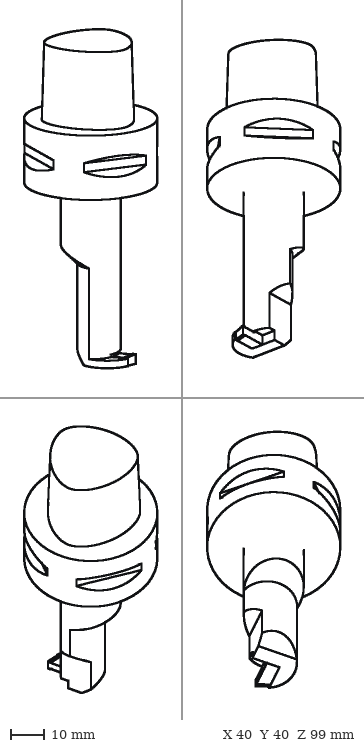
import cadquery as cq
import math

TOTAL_HEIGHT = 99.0
TAPER_HEIGHT = 24.0
FLANGE_HEIGHT = 20.0
FLANGE_TOP = TOTAL_HEIGHT - TAPER_HEIGHT
FLANGE_BOTTOM = FLANGE_TOP - FLANGE_HEIGHT

TAPER_BASE_RADIUS = 13.9
TAPER_TOP_RADIUS = 13.2
LOBE_HEIGHT = 1.0
LOBE_COUNT = 3
LOBE_HALF_ANGLE = 20.0
TOP_LOBE_ANGLE = 90.0
CURVE_INTERVALS = 6

FLANGE_DIAMETER = 40.0
SLOT_COUNT = 4
SLOT_FIRST_ANGLE = 45.0
SLOT_DEPTH = 2.9
SLOT_FLOOR_HEIGHT = 2.8
SLOT_MOUTH_HEIGHT = 6.5
SLOT_CENTER_Z = FLANGE_TOP - FLANGE_HEIGHT / 2

BAR_DIAMETER = 18.0
BAR_RADIUS = BAR_DIAMETER / 2
BAR_BOTTOM = 0.2
NECK_FILLET = 1.5
TIP_OFFSET = 5.2
RELIEF_TOP = 30.7
ARM_TOP = 2.6
CORNER_CHAMFER = 4.4
FLAT_Y = 4.8
FLAT_TOP = 15.1

SEAT_Y = -4.1
RAKE_Y = 0.0
SEAT_HEIGHT = 3.4
ROOT_LENGTH = 3.8
BLADE_BACK_TOP = 2.8
BLADE_RAKE_TOP = 2.9
EDGE_TOP = 3.1
EDGE_X = 14.4
EDGE_LENGTH = 0.9
FLANK_CLEARANCE = 1.5


def lobed_point(radius, degrees, z):
    """Point of a constant-width lobed curve whose normal is at the given angle from a lobe."""
    angle = math.radians(degrees)
    support = radius + LOBE_HEIGHT * math.cos(LOBE_COUNT * angle)
    slope = -LOBE_COUNT * LOBE_HEIGHT * math.sin(LOBE_COUNT * angle)
    direction = angle + math.radians(TOP_LOBE_ANGLE)
    x = support * math.cos(direction) - slope * math.sin(direction)
    y = support * math.sin(direction) + slope * math.cos(direction)
    return cq.Vector(x, y, z)


def lobed_curve(radius, start, end, z):
    step = (end - start) / CURVE_INTERVALS
    angles = [start + step * i for i in range(CURVE_INTERVALS + 1)]
    return cq.Edge.makeSpline([lobed_point(radius, angle, z) for angle in angles])


def lobed_wire(radius, z):
    """Closed outline of alternating lobes and flatter flanks."""
    pitch = 360.0 / LOBE_COUNT
    edges = []
    for i in range(LOBE_COUNT):
        lobe_start = i * pitch - LOBE_HALF_ANGLE
        lobe_end = i * pitch + LOBE_HALF_ANGLE
        edges.append(lobed_curve(radius, lobe_start, lobe_end, z))
        edges.append(lobed_curve(radius, lobe_end, lobe_start + pitch, z))
    return cq.Wire.assembleEdges(edges)


def make_taper():
    base = lobed_wire(TAPER_BASE_RADIUS, FLANGE_TOP)
    top = lobed_wire(TAPER_TOP_RADIUS, TOTAL_HEIGHT)
    return cq.Workplane(cq.Solid.makeLoft([base, top], True))


def make_flange():
    """Flange disc with flat-bottomed gripper slots that widen outwards."""
    radius = FLANGE_DIAMETER / 2
    flange = cq.Workplane().workplane(offset=FLANGE_BOTTOM).circle(radius).extrude(FLANGE_HEIGHT)
    floor_half = SLOT_FLOOR_HEIGHT / 2
    mouth_half = SLOT_MOUTH_HEIGHT / 2
    slot = (
        cq.Workplane("XZ")
        .moveTo(radius - SLOT_DEPTH, SLOT_CENTER_Z - floor_half)
        .lineTo(radius, SLOT_CENTER_Z - mouth_half)
        .lineTo(radius, SLOT_CENTER_Z + mouth_half)
        .lineTo(radius - SLOT_DEPTH, SLOT_CENTER_Z + floor_half)
        .close()
        .extrude(radius, both=True)
    )
    for i in range(SLOT_COUNT):
        angle = SLOT_FIRST_ANGLE + i * 360.0 / SLOT_COUNT
        flange = flange.cut(slot.rotate((0, 0, 0), (0, 0, 1), angle))
    return flange


def make_round_bar():
    """Round bar up to the flange, with a concave fillet where it meets the flange."""
    fillet_start = FLANGE_BOTTOM - NECK_FILLET
    corner = NECK_FILLET * (1 - math.sqrt(0.5))
    return (
        cq.Workplane("XZ")
        .moveTo(0, BAR_BOTTOM)
        .lineTo(BAR_RADIUS, BAR_BOTTOM)
        .lineTo(BAR_RADIUS, fillet_start)
        .threePointArc(
            (BAR_RADIUS + corner, FLANGE_BOTTOM - corner),
            (BAR_RADIUS + NECK_FILLET, FLANGE_BOTTOM),
        )
        .lineTo(0, FLANGE_BOTTOM)
        .close()
        .revolve(360, (0, 0, 0), (0, 1, 0))
    )


def relief_envelope():
    """Offset cylinder of the bar's diameter, opening above into a 45 degree cone."""
    cone_height = FLANGE_BOTTOM - RELIEF_TOP
    return (
        cq.Workplane("XZ")
        .moveTo(0, BAR_BOTTOM)
        .lineTo(BAR_RADIUS, BAR_BOTTOM)
        .lineTo(BAR_RADIUS, RELIEF_TOP)
        .lineTo(BAR_RADIUS + cone_height, FLANGE_BOTTOM)
        .lineTo(0, FLANGE_BOTTOM)
        .close()
        .revolve(360, (0, 0, 0), (0, 1, 0))
        .translate((TIP_OFFSET, 0, 0))
    )


def make_arm():
    """Thin offset disc that supports the insert."""
    return (
        cq.Workplane()
        .workplane(offset=BAR_BOTTOM)
        .center(TIP_OFFSET, 0)
        .circle(BAR_RADIUS)
        .extrude(ARM_TOP - BAR_BOTTOM)
    )


def corner_chamfer_cut():
    """Wedge that takes the lower -X corner off the bar at 45 degrees."""
    left = TIP_OFFSET - BAR_RADIUS
    return (
        cq.Workplane("XZ")
        .moveTo(left, BAR_BOTTOM)
        .lineTo(left + CORNER_CHAMFER, BAR_BOTTOM)
        .lineTo(left, BAR_BOTTOM + CORNER_CHAMFER)
        .close()
        .extrude(BAR_DIAMETER, both=True)
    )


def rear_flat_cut():
    """Flat on the +Y side of the tip, running out at 45 degrees."""
    depth = BAR_RADIUS - FLAT_Y
    return (
        cq.Workplane("YZ")
        .moveTo(FLAT_Y, BAR_BOTTOM)
        .lineTo(BAR_RADIUS, BAR_BOTTOM)
        .lineTo(BAR_RADIUS, FLAT_TOP + depth)
        .lineTo(FLAT_Y, FLAT_TOP)
        .close()
        .extrude(TIP_OFFSET + BAR_DIAMETER, both=True)
    )


def seat_cut():
    """Insert seat, open towards +X, +Y and the bottom."""
    size = (BAR_DIAMETER, BAR_RADIUS - SEAT_Y, SEAT_HEIGHT - BAR_BOTTOM)
    corner = (BAR_RADIUS - ROOT_LENGTH, SEAT_Y, BAR_BOTTOM)
    return cq.Workplane().box(*size, centered=False).translate(corner)


def make_holder():
    bar = make_round_bar().intersect(relief_envelope()).union(make_arm())
    bar = bar.cut(corner_chamfer_cut()).cut(rear_flat_cut()).cut(seat_cut())
    return make_taper().union(make_flange()).union(bar)


def tapered_block(back_x, rake_x, back_z, rake_z):
    """Block lofted from the seat wall to the rake face, each end given by its X and Z ranges."""
    outlines = []
    for y, (x0, x1), (z0, z1) in ((SEAT_Y, back_x, back_z), (RAKE_Y, rake_x, rake_z)):
        corners = [(x0, y, z0), (x1, y, z0), (x1, y, z1), (x0, y, z1)]
        outlines.append(cq.Wire.makePolygon([cq.Vector(*corner) for corner in corners], close=True))
    return cq.Workplane(cq.Solid.makeLoft(outlines, True))


def make_insert():
    """Root block in the seat, a slim blade, and a cutting edge that widens towards the rake face."""
    root_start = BAR_RADIUS - ROOT_LENGTH
    edge_back = EDGE_X - FLANK_CLEARANCE
    root_x = (root_start, BAR_RADIUS)
    root_z = (BAR_BOTTOM, SEAT_HEIGHT)
    back_z = (BAR_BOTTOM, BLADE_BACK_TOP)
    root = tapered_block(root_x, root_x, root_z, root_z)
    blade = tapered_block(
        (root_start, edge_back),
        (root_start, EDGE_X),
        back_z,
        (BAR_BOTTOM, BLADE_RAKE_TOP),
    )
    edge = tapered_block(
        (edge_back - EDGE_LENGTH, edge_back),
        (EDGE_X - EDGE_LENGTH, EDGE_X),
        back_z,
        (0, EDGE_TOP),
    )
    return root.union(blade).union(edge)


holder = make_holder()
insert = make_insert()

result = cq.Compound.makeCompound([holder.val(), insert.val()])